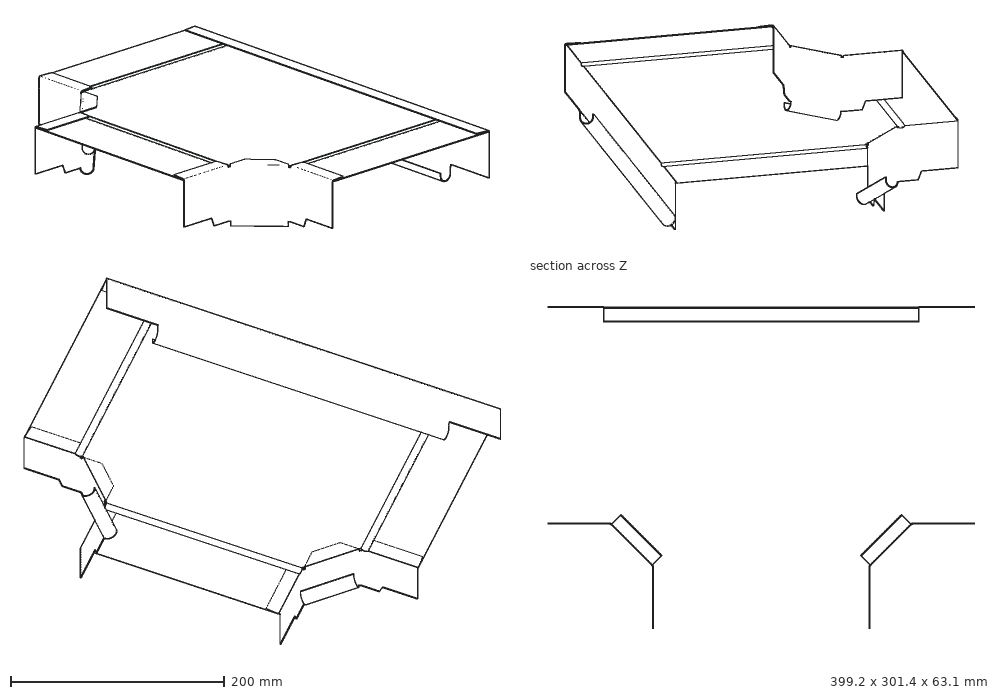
import cadquery as cq
import math


length = 399.2
width = 203.5
arm_length = 58.0
sheet = 1.0

half_length = length / 2
half_width = width / 2
corner_turn = 45.0
corner_cut = half_length - half_width - arm_length
arm_corner = (-half_length + arm_length, -width)
branch_corner = (-half_width, -width - corner_cut)
branch_end_y = branch_corner[1] - arm_length

lip_width = 15.5
bend_radius = 2.5
bend_gap = 0.8
corner_radius = 2.0
lip_taper = 1.0

arm_depth = 48.0
wall_depth = 56.3
step_start = 35.5
step_run = 3.0

hook_radius = 6.8
hook_tip_depth = 53.5
back_hook_length = 295.5
hook_gap = 1.0
joggle_height = 2.5

groove_width = 6.5
groove_depth = 2.0
groove_start = 51.5


def inset_corners(inset):
    """Left arm and branch corners of the outline, moved inward by inset from the outer wall faces."""
    miter = inset * math.tan(math.radians(corner_turn / 2))
    arm = (arm_corner[0] + miter, arm_corner[1] + inset)
    branch = (branch_corner[0] + inset, branch_corner[1] + miter)
    return arm, branch


def wall_frame(start, end):
    """Workplane at the wall start: x points inward (left of start to end), y up, z along the wall."""
    run_x = end[0] - start[0]
    run_y = end[1] - start[1]
    plane = cq.Plane(origin=(*start, 0), xDir=(-run_y, run_x, 0), normal=(run_x, run_y, 0))
    return cq.Workplane(plane)


def lip_strip(start, end, start_gap, end_gap, taper):
    """Bend and lip along a wall; the lip narrows by taper at both ends."""
    wall_length = math.dist(start, end)
    frame = wall_frame(start, end)
    middle = math.sqrt(0.5)
    inner_radius = bend_radius - sheet
    strip = (
        frame.moveTo(0, -bend_radius)
        .threePointArc((bend_radius * (1 - middle), -bend_radius * (1 - middle)), (bend_radius, 0))
        .lineTo(lip_width, 0)
        .lineTo(lip_width, -sheet)
        .lineTo(bend_radius, -sheet)
        .threePointArc(
            (bend_radius - inner_radius * middle, -bend_radius + inner_radius * middle),
            (sheet, -bend_radius),
        )
        .close()
        .extrude(wall_length)
    )
    near = start_gap
    far = wall_length - end_gap
    plan = cq.Workplane(cq.Plane(origin=(*start, 0), xDir=frame.plane.xDir, normal=(0, 0, 1)))
    trim = (
        plan.polyline([
            (0, -near),
            (bend_radius, -near),
            (lip_width, -near - taper),
            (lip_width, -far + taper),
            (bend_radius, -far),
            (0, -far),
        ])
        .close()
        .extrude(-bend_radius)
    )
    return strip.intersect(trim)


def hook_strip(frame, hook_length, face):
    """Hook below the wall depth, its outer face set inward by face; frame at the hook start."""
    center = face + hook_radius
    far = face + 2 * hook_radius
    return (
        frame.moveTo(face, -wall_depth)
        .threePointArc((center, -wall_depth - hook_radius), (far, -wall_depth))
        .lineTo(far, -hook_tip_depth)
        .lineTo(far - sheet, -hook_tip_depth)
        .lineTo(far - sheet, -wall_depth)
        .threePointArc((center, -wall_depth - hook_radius + sheet), (face + sheet, -wall_depth))
        .close()
        .extrude(hook_length)
    )


def opening_notch(frame):
    """Material removed below a straight wall next to its opening; frame at the opening."""
    plane = cq.Plane(origin=frame.plane.origin, xDir=frame.plane.zDir, normal=-frame.plane.xDir)
    return (
        cq.Workplane(plane)
        .polyline([
            (0, -arm_depth),
            (step_start, -arm_depth),
            (step_start + step_run, -wall_depth),
            (0, -wall_depth),
        ])
        .close()
        .extrude(sheet, both=True)
    )


def groove_segment(plane, span, offset):
    """Circular segment below the plate top along a groove, its arc grown outward by offset."""
    groove_radius = (groove_width**2 / 4 + groove_depth**2) / (2 * groove_depth)
    center_height = groove_radius - groove_depth
    half_chord = math.sqrt((groove_radius + offset) ** 2 - center_height**2)
    return (
        cq.Workplane(plane)
        .moveTo(-half_chord, 0)
        .threePointArc((0, -groove_depth - offset), (half_chord, 0))
        .close()
        .extrude(span)
    )


def make_plate():
    arm, branch = inset_corners(bend_radius)
    left_side = [
        (-half_length, -bend_radius),
        (-half_length, arm[1]),
        arm,
        branch,
        (branch[0], branch_end_y),
    ]
    right_side = [(-x, y) for x, y in reversed(left_side)]
    plate = (
        cq.Workplane("XY", origin=(0, 0, -sheet))
        .polyline(left_side + right_side)
        .close()
        .extrude(-sheet)
    )

    groove_center = groove_start + groove_width / 2
    groove_x = half_length - groove_center
    groove_y = branch_end_y + groove_center
    arm_span = -bend_radius - arm[1]
    branch_span = -2 * branch[0]
    runs = [
        (cq.Plane((-groove_x, -bend_radius, -sheet), (1, 0, 0), (0, -1, 0)), arm_span),
        (cq.Plane((groove_x, -bend_radius, -sheet), (1, 0, 0), (0, -1, 0)), arm_span),
        (cq.Plane((branch[0], groove_y, -sheet), (0, 1, 0), (1, 0, 0)), branch_span),
    ]
    for plane, span in runs:
        plate = plate.union(groove_segment(plane, span, sheet))
        plate = plate.cut(groove_segment(plane, span, 0))
    return plate


def make_back_wall():
    start = (half_length, 0)
    end = (-half_length, 0)
    wall = (
        wall_frame(start, end)
        .moveTo(0, -bend_radius)
        .rect(sheet, bend_radius - arm_depth, centered=False)
        .extrude(length)
    )
    hook_start = (back_hook_length / 2, 0)
    hook_frame = wall_frame(hook_start, end)
    joggle_depth = arm_depth + joggle_height
    joggle = (
        hook_frame.moveTo(0, -arm_depth)
        .spline([(sheet, -joggle_depth)], tangents=[(0, -1), (0, -1)], includeCurrent=True)
        .lineTo(sheet, -wall_depth)
        .lineTo(2 * sheet, -wall_depth)
        .lineTo(2 * sheet, -joggle_depth)
        .spline([(sheet, -arm_depth)], tangents=[(0, 1), (0, 1)], includeCurrent=True)
        .close()
        .extrude(back_hook_length)
    )
    hook = hook_strip(hook_frame, back_hook_length, sheet)
    return wall.union(lip_strip(start, end, 0, 0, lip_taper)).union(joggle).union(hook)


def make_corner_wall():
    """Corner wall on the -X side: arm wall, diagonal wall with hook, and branch wall."""
    arm_end = (-half_length, -width)
    branch_end = (-half_width, branch_end_y)
    inner_arm, inner_branch = inset_corners(sheet)
    wall = (
        cq.Workplane("XY", origin=(0, 0, -bend_radius))
        .polyline([
            arm_end,
            arm_corner,
            branch_corner,
            branch_end,
            (inner_branch[0], branch_end_y),
            inner_branch,
            inner_arm,
            (-half_length, inner_arm[1]),
        ])
        .close()
        .extrude(bend_radius - wall_depth)
    )
    wall = wall.cut(opening_notch(wall_frame(arm_end, arm_corner)))
    wall = wall.cut(opening_notch(wall_frame(branch_end, branch_corner)))

    for corner, radius in [
        (arm_corner, corner_radius),
        (branch_corner, corner_radius),
        (inner_arm, corner_radius + sheet),
        (inner_branch, corner_radius + sheet),
    ]:
        edge = cq.selectors.NearestToPointSelector((*corner, -wall_depth / 2))
        wall = wall.edges("|Z").edges(edge).fillet(radius)

    diagonal_taper = lip_width - bend_radius
    hook_length = math.dist(arm_corner, branch_corner) - 2 * hook_gap
    hook_frame = wall_frame(arm_corner, branch_corner).workplane(offset=hook_gap)
    hook = hook_strip(hook_frame, hook_length, 0)
    return (
        wall.union(lip_strip(arm_end, arm_corner, 0, bend_gap, lip_taper))
        .union(lip_strip(arm_corner, branch_corner, bend_gap, bend_gap, diagonal_taper))
        .union(lip_strip(branch_corner, branch_end, bend_gap, 0, lip_taper))
        .union(hook)
    )


plate = make_plate()
back_wall = make_back_wall()
left_corner_wall = make_corner_wall()
corner_walls = [left_corner_wall, left_corner_wall.mirror("YZ")]

result = cq.Compound.makeCompound([
    plate.val(),
    back_wall.val(),
    *[wall.val() for wall in corner_walls],
])